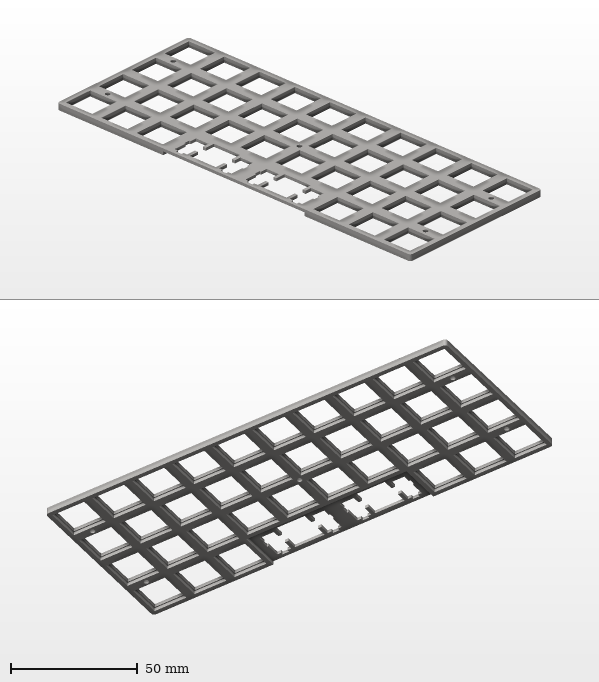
import cadquery as cq

columns = 10
rows = 4
pitch = 19.0
plate_length = columns * pitch
plate_width = rows * pitch
plate_thickness = 3.0
corner_radius = 1.3

switch_size = 14.0

lip_thickness = 1.5
lip_overhang = 0.5

wide_key_count = 2
wide_key_cells = 2
wide_key_pitch = wide_key_cells * pitch
wide_zone_length = wide_key_count * wide_key_pitch
front_row_y = -(rows - 1) / 2 * pitch

thin_web = 1.37
relief_depth = plate_thickness - thin_web

stabilizer_offset = 12.0
stabilizer_width = 6.6
stabilizer_top = 5.5
stabilizer_bottom = -6.8
foot_width = 3.0
foot_bottom = -8.0
notch_reach = 16.0
notch_top = 2.3
notch_bottom = -0.5
wire_slot_width = 4.5

mount_diameter = 2.3
mount_x = (columns - 1) / 2 * pitch
mount_y = pitch
mount_points = [(0, 0)] + [(sx * mount_x, sy * mount_y) for sx in (-1, 1) for sy in (-1, 1)]


def through_box(x_min, x_max, y_min, y_max):
    """Rectangular cutter that spans the full plate thickness."""
    size_x = x_max - x_min
    size_y = y_max - y_min
    box = cq.Workplane("XY").box(size_x, size_y, plate_thickness, centered=False)
    return box.translate((x_min, y_min, 0))


def switch_centres():
    """Centres of the single-width keys, leaving out the double-width zone."""
    centres = []
    for row in range(rows):
        for column in range(columns):
            x = (column - (columns - 1) / 2) * pitch
            y = front_row_y + row * pitch
            in_wide_zone = row == 0 and abs(x) < wide_zone_length / 2
            if not in_wide_zone:
                centres.append((x, y))
    return centres


def stabilizer_cutter():
    """Stabilizer opening on the +X side of a key centred on the origin."""
    inner = stabilizer_offset - stabilizer_width / 2
    outer = stabilizer_offset + stabilizer_width / 2
    foot_inner = stabilizer_offset - foot_width / 2
    foot_outer = stabilizer_offset + foot_width / 2
    housing = through_box(inner, outer, stabilizer_bottom, stabilizer_top)
    foot = through_box(foot_inner, foot_outer, foot_bottom, stabilizer_top)
    notch = through_box(stabilizer_offset, notch_reach, notch_bottom, notch_top)
    return housing.union(foot).union(notch)


def wide_key_cutter():
    """Switch opening joined by a wire slot to a stabilizer opening on each side."""
    half_switch = switch_size / 2
    half_slot = wire_slot_width / 2
    switch = through_box(-half_switch, half_switch, -half_switch, half_switch)
    wire_slot = through_box(-stabilizer_offset, stabilizer_offset, -half_slot, half_slot)
    stabilizer = stabilizer_cutter()
    return switch.union(wire_slot).union(stabilizer).union(stabilizer.mirror("YZ"))


plate = cq.Workplane("XY").box(plate_length, plate_width, plate_thickness, centered=(True, True, False))
plate = plate.edges("|Z").fillet(corner_radius)

relief = cq.Workplane("XY").box(wide_zone_length, pitch, relief_depth, centered=(True, True, False))
plate = plate.cut(relief.translate((0, front_row_y, 0)))

switches = (
    cq.Workplane("XY")
    .pushPoints(switch_centres())
    .rect(switch_size, switch_size)
    .extrude(plate_thickness)
)
plate = plate.cut(switches)

undercut_size = switch_size + 2 * lip_overhang
undercuts = (
    cq.Workplane("XY")
    .pushPoints(switch_centres())
    .rect(undercut_size, undercut_size)
    .extrude(plate_thickness - lip_thickness)
)
plate = plate.cut(undercuts)

for index in range(wide_key_count):
    key_x = (index - (wide_key_count - 1) / 2) * wide_key_pitch
    plate = plate.cut(wide_key_cutter().translate((key_x, front_row_y, 0)))

mount_holes = (
    cq.Workplane("XY")
    .pushPoints(mount_points)
    .circle(mount_diameter / 2)
    .extrude(plate_thickness)
)
result = plate.cut(mount_holes)